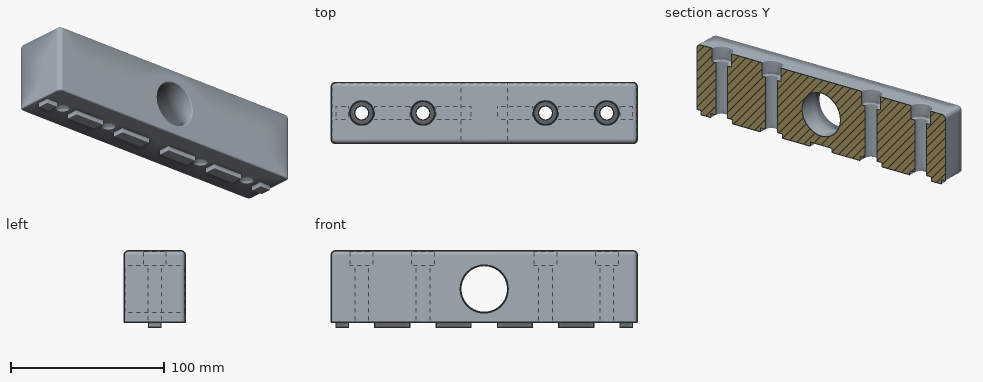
import cadquery as cq

length = 200.0
width = 40.0
total_height = 50.0
key_height = 3.0
body_height = total_height - key_height
edge_radius = 3.0
edge_break = 0.5

bore_diameter = 30.5
bore_height = total_height / 2

screw_diameter = 9.0
head_diameter = 15.0
head_depth = 9.5
pitch = 40.0
screw_positions = [-2 * pitch, -pitch, pitch, 2 * pitch]

key_width = 8.2
key_gap = 17.0
key_end_inset = 3.2
gap_positions = sorted(screw_positions + [0])


def make_body():
    """Block with rounded sides and top, and a broken bottom edge."""
    body = cq.Workplane("XY").workplane(offset=key_height)
    body = body.box(length, width, body_height, centered=(True, True, False))
    body = body.edges("|Z or >Z").fillet(edge_radius)
    return body.faces("<Z").edges().chamfer(edge_break)


def hole_with_broken_rims(diameter, depth, bottom_break=True):
    """Cutter along +Z from the origin, flared at its top and optionally bottom rim."""
    cutter = cq.Workplane("XY").circle(diameter / 2).extrude(depth)
    flare_radius = diameter / 2 + edge_break
    flare = cq.Solid.makeCone(diameter / 2, flare_radius, edge_break)
    cutter = cutter.union(flare.translate(cq.Vector(0, 0, depth - edge_break)))
    if bottom_break:
        cutter = cutter.union(cq.Solid.makeCone(flare_radius, diameter / 2, edge_break))
    return cutter


def cut_bore(body):
    cutter = hole_with_broken_rims(bore_diameter, width)
    cutter = cutter.rotate((0, 0, 0), (1, 0, 0), 90)
    return body.cut(cutter.translate((0, width / 2, bore_height)))


def cut_screw_holes(body):
    shank = cq.Workplane("XY").circle(screw_diameter / 2).extrude(total_height)
    head = hole_with_broken_rims(head_diameter, head_depth, bottom_break=False)
    cutter = shank.union(head.translate((0, 0, total_height - head_depth)))
    for x in screw_positions:
        body = body.cut(cutter.translate((x, 0, 0)))
    return body


def add_keys(body):
    """Fill the stretches between neighbouring gaps, and from the outer gaps to the ends."""
    starts = [key_end_inset - length / 2] + [x + key_gap / 2 for x in gap_positions]
    ends = [x - key_gap / 2 for x in gap_positions] + [length / 2 - key_end_inset]
    for start, end in zip(starts, ends):
        key = cq.Workplane("XY").box(end - start, key_width, key_height, centered=(False, True, False))
        body = body.union(key.translate((start, 0, 0)))
    return body


result = add_keys(cut_screw_holes(cut_bore(make_body())))